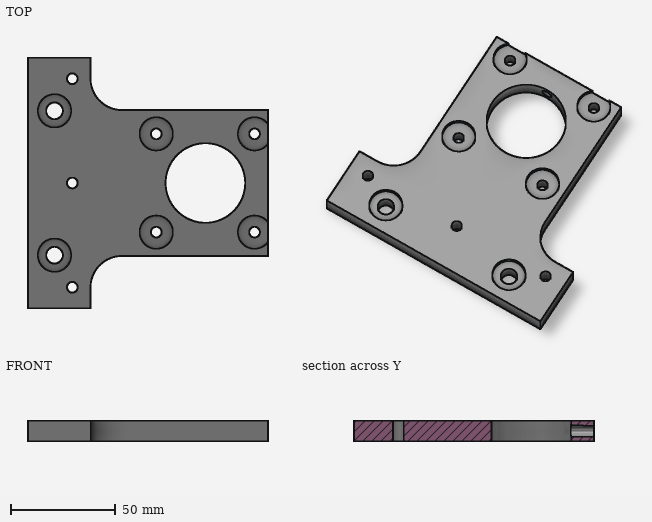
import cadquery as cq

length = 115.0
flange_span = 120.0
flange_width = 30.0
stem_width = 70.0
thickness = 10.0
inner_corner_radius = 15.0

bore_x = 85.0
bore_diameter = 38.0
motor_hole_pitch = 47.0
screw_hole_diameter = 5.0

flange_bolt_x = 12.7
flange_bolt_pitch = 69.1
flange_bolt_diameter = 7.9
pin_x = 21.2
pin_pitch = 49.9

counterbore_diameter = 16.0
counterbore_depth = 2.0

cross_hole_diameter = 5.0
cross_hole_z = thickness / 2


def make_plate():
    """T-shaped plate with rounded inner corners; left edge on X = 0, bottom on Z = 0."""
    flange = cq.Workplane("XY").box(flange_width, flange_span, thickness, centered=(False, True, False))
    stem = cq.Workplane("XY").box(length, stem_width, thickness, centered=(False, True, False))
    margin = 1.2
    inner_corners = cq.selectors.BoxSelector(
        (flange_width - margin, -stem_width / 2 - margin, -margin),
        (flange_width + margin, stem_width / 2 + margin, thickness + margin),
    )
    return flange.union(stem).edges("|Z").edges(inner_corners).fillet(inner_corner_radius)


def cylinders_down(points, diameter, depth):
    """Cylinders reaching from the top face down to the given depth."""
    top = cq.Workplane("XY").workplane(offset=thickness)
    return top.pushPoints(points).circle(diameter / 2).extrude(-depth)


motor_points = [
    (bore_x + x_side * motor_hole_pitch / 2, y_side * motor_hole_pitch / 2)
    for x_side in (-1, 1)
    for y_side in (-1, 1)
]
bolt_points = [(flange_bolt_x, side * flange_bolt_pitch / 2) for side in (-1, 1)]
pin_points = [(pin_x, step * pin_pitch) for step in (-1, 0, 1)]

cross_hole = (
    cq.Workplane("YZ", origin=(bore_x, 0, cross_hole_z))
    .circle(cross_hole_diameter / 2)
    .extrude(length - bore_x)
)

result = (
    make_plate()
    .cut(cylinders_down([(bore_x, 0)], bore_diameter, thickness))
    .cut(cylinders_down(motor_points + pin_points, screw_hole_diameter, thickness))
    .cut(cylinders_down(bolt_points, flange_bolt_diameter, thickness))
    .cut(cylinders_down(motor_points + bolt_points, counterbore_diameter, counterbore_depth))
    .cut(cross_hole)
)